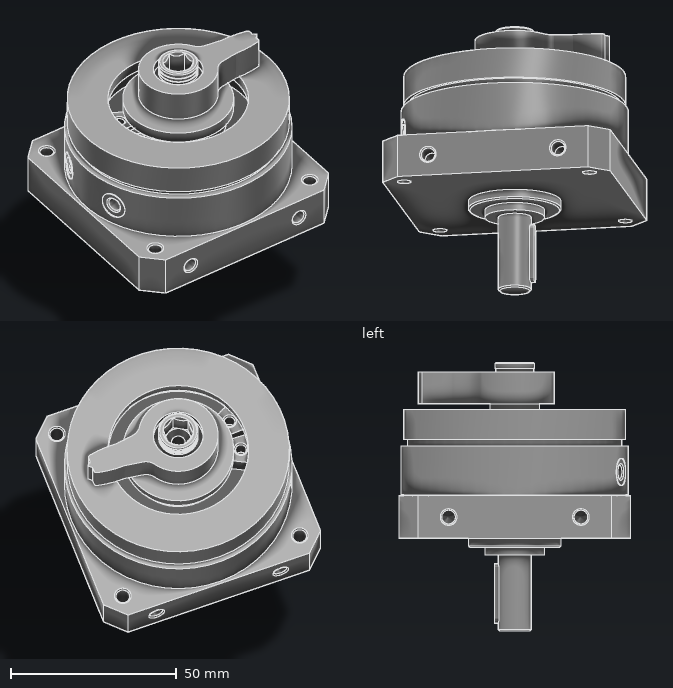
import cadquery as cq
import math

DRILL_POINT_HALF_ANGLE = 59.0
COUNTERSINK_ANGLE = 90.0

FLANGE_SIDE = 70.0
FLANGE_HEIGHT = 12.9
FLANGE_CORNER_CUT = 5.8
CORNER_HOLE_OFFSET = 28.5
SIDE_HOLE_OFFSET = 20.0
SIDE_HOLE_DEPTH = 6.5
THREAD_DIAMETER = 4.15
THREAD_MOUTH_DIAMETER = 5.0

DRUM_DIAMETER = 68.8
DRUM_BASE_Z = 13.15
DRUM_TOP_Z = 27.9
COVER_DIAMETER = 67.15
COVER_BASE_Z = 29.8
COVER_TOP_Z = 39.0
WAIST_DIAMETER = 64.8
FOOT_DIAMETER = COVER_DIAMETER

PORT_ANGLE = 20.0
PORT_Z = 20.05
PORT_SEAT_DIAMETER = 8.3
PORT_SEAT_RADIUS = 34.1
PORT_DEPTH = 7.3

SLOT_MOUTH_INNER_DIAMETER = 33.5
SLOT_MOUTH_OUTER_DIAMETER = 42.5
SLOT_INNER_DIAMETER = 29.0
SLOT_OUTER_DIAMETER = 47.0
SLOT_LIP = 3.5
SLOT_DEPTH = 9.5
SLOT_FLOOR_Z = COVER_TOP_Z - SLOT_DEPTH

NUT_HEIGHT = SLOT_DEPTH - SLOT_LIP
NUT_ANGLE = 15.0
NUT_SPAN = 25.0
NUT_HOLE_RADIUS = (SLOT_MOUTH_INNER_DIAMETER + SLOT_MOUTH_OUTER_DIAMETER) / 4
NUT_HOLE_DIAMETER = 3.25
NUT_HOLE_MOUTH_DIAMETER = 4.15

BOSS_DIAMETER = 28.0
BOSS_LENGTH = 2.8
BOSS_CHAMFER = 0.5
COLLAR_DIAMETER = 18.0
COLLAR_END_Z = -5.0
SHAFT_DIAMETER = 10.0
SHAFT_END_Z = -28.0
SHAFT_CHAMFER = 0.5
KEY_LENGTH = 18.0
KEY_WIDTH = 3.0
KEY_CENTRE_Z = -16.65
KEY_TOP_Y = 6.2

HUB_DIAMETER = 15.0
HUB_SHOULDER_Z = 47.6
STUD_DIAMETER = 12.0
STUD_GROOVE_DIAMETER = 11.5
STUD_GROOVE_BASE_Z = 50.0
STUD_GROOVE_TOP_Z = 51.3
STUD_TOP_Z = 53.2
STUD_CHAMFER = 0.4
HUB_CONE_HEIGHT = (HUB_DIAMETER - STUD_DIAMETER) / 2
HEX_ACROSS_FLATS = 8.0
HEX_DEPTH = 7.3
HEX_MOUTH_DIAMETER = 9.3
HEX_MOUTH_SLOPE = 60.0
CENTRE_HOLE_DEPTH = 9.75

LEVER_BASE_Z = 40.6
LEVER_HEIGHT = 9.7
LEVER_HUB_RADIUS = 12.0
LEVER_TIP_Y = 29.15
LEVER_HUB_JOIN_X = 6.8
LEVER_ARM = {
    "tip base": (1.05, 28.0),
    "end": (2.3, 28.0),
    "corner": (2.8, 27.85),
    "side": (3.1, 27.4),
    "belly": (3.7, 23.15),
    "waist": (3.8, 18.7),
    "root": (4.6, 13.1),
    "root fillet": (5.4, 11.1),
    "hub": (LEVER_HUB_JOIN_X, math.sqrt(LEVER_HUB_RADIUS**2 - LEVER_HUB_JOIN_X**2)),
}


def cone_height(diameter):
    """Height of a full drill-point cone with the given base diameter."""
    return diameter / 2 / math.tan(math.radians(DRILL_POINT_HALF_ANGLE))


def turned(profile):
    """Solid of revolution about Z from (radius, z) points."""
    return cq.Workplane("YZ").polyline(profile).close().revolve(360, (0, 0, 0), (0, 1, 0))


def ring(inner_diameter, outer_diameter, bottom, height):
    return (
        cq.Workplane("XY", origin=(0, 0, bottom))
        .circle(outer_diameter / 2)
        .circle(inner_diameter / 2)
        .extrude(height)
    )


def threaded_hole_cutter(depth):
    """Chamfered blind hole with a drill point, running down from the origin."""
    radius = THREAD_DIAMETER / 2
    mouth_radius = THREAD_MOUTH_DIAMETER / 2
    return turned([
        (0, 0),
        (mouth_radius, 0),
        (radius, radius - mouth_radius),
        (radius, -depth),
        (0, -depth - cone_height(THREAD_DIAMETER)),
    ])


def flange():
    plate = (
        cq.Workplane("XY")
        .rect(FLANGE_SIDE, FLANGE_SIDE)
        .extrude(FLANGE_HEIGHT)
        .edges("|Z")
        .chamfer(FLANGE_CORNER_CUT)
    )
    corner_pitch = 2 * CORNER_HOLE_OFFSET
    plate = (
        plate.faces(">Z")
        .workplane(origin=(0, 0, 0))
        .rect(corner_pitch, corner_pitch, forConstruction=True)
        .vertices()
        .cskHole(THREAD_DIAMETER, THREAD_MOUTH_DIAMETER, COUNTERSINK_ANGLE)
    )
    for turn in (-90, 90):
        cutter = threaded_hole_cutter(SIDE_HOLE_DEPTH).rotate((0, 0, 0), (0, 1, 0), turn)
        side_x = math.copysign(FLANGE_SIDE / 2, turn)
        for y in (-SIDE_HOLE_OFFSET, SIDE_HOLE_OFFSET):
            plate = plate.cut(cutter.translate((side_x, y, FLANGE_HEIGHT / 2)))
    return plate


def round_housing():
    """Drum and cover, with a waist between them and a shallow recessed foot below the drum."""
    drum_radius = DRUM_DIAMETER / 2
    cover_radius = COVER_DIAMETER / 2
    waist_radius = WAIST_DIAMETER / 2
    foot_radius = FOOT_DIAMETER / 2
    return turned([
        (0, FLANGE_HEIGHT),
        (foot_radius, FLANGE_HEIGHT),
        (foot_radius, DRUM_BASE_Z),
        (drum_radius, DRUM_BASE_Z),
        (drum_radius, DRUM_TOP_Z),
        (waist_radius, DRUM_TOP_Z),
        (waist_radius, COVER_BASE_Z),
        (cover_radius, COVER_BASE_Z),
        (cover_radius, COVER_TOP_Z),
        (0, COVER_TOP_Z),
    ])


def port_cutter(angle):
    """Air port with a flat round seat, turned from the -Y direction about Z."""
    seat = cq.Workplane("XY").circle(PORT_SEAT_DIAMETER / 2).extrude(DRUM_DIAMETER / 2 - PORT_SEAT_RADIUS)
    return (
        threaded_hole_cutter(PORT_DEPTH)
        .union(seat)
        .rotate((0, 0, 0), (1, 0, 0), 90)
        .translate((0, -PORT_SEAT_RADIUS, PORT_Z))
        .rotate((0, 0, 0), (0, 0, 1), angle)
    )


def t_slot_cutter():
    mouth = ring(SLOT_MOUTH_INNER_DIAMETER, SLOT_MOUTH_OUTER_DIAMETER, SLOT_FLOOR_Z, SLOT_DEPTH)
    undercut = ring(SLOT_INNER_DIAMETER, SLOT_OUTER_DIAMETER, SLOT_FLOOR_Z, SLOT_DEPTH - SLOT_LIP)
    return mouth.union(undercut)


def lower_shaft():
    boss_radius = BOSS_DIAMETER / 2
    shaft_radius = SHAFT_DIAMETER / 2
    shaft = turned([
        (0, 0),
        (boss_radius, 0),
        (boss_radius, BOSS_CHAMFER - BOSS_LENGTH),
        (boss_radius - BOSS_CHAMFER, -BOSS_LENGTH),
        (COLLAR_DIAMETER / 2, -BOSS_LENGTH),
        (COLLAR_DIAMETER / 2, COLLAR_END_Z),
        (shaft_radius, COLLAR_END_Z),
        (shaft_radius, SHAFT_END_Z + SHAFT_CHAMFER),
        (shaft_radius - SHAFT_CHAMFER, SHAFT_END_Z),
        (0, SHAFT_END_Z),
    ])
    key = (
        cq.Workplane("XZ", origin=(0, 0, KEY_CENTRE_Z))
        .slot2D(KEY_LENGTH, KEY_WIDTH, 90)
        .extrude(-KEY_TOP_Y)
    )
    return shaft.union(key)


def upper_shaft():
    hub_radius = HUB_DIAMETER / 2
    groove_radius = STUD_GROOVE_DIAMETER / 2
    stud_radius = STUD_DIAMETER / 2
    return turned([
        (0, COVER_TOP_Z),
        (hub_radius, COVER_TOP_Z),
        (hub_radius, HUB_SHOULDER_Z),
        (stud_radius, HUB_SHOULDER_Z + HUB_CONE_HEIGHT),
        (stud_radius, STUD_GROOVE_BASE_Z),
        (groove_radius, STUD_GROOVE_BASE_Z),
        (groove_radius, STUD_GROOVE_TOP_Z),
        (stud_radius, STUD_GROOVE_TOP_Z),
        (stud_radius, STUD_TOP_Z - STUD_CHAMFER),
        (stud_radius - STUD_CHAMFER, STUD_TOP_Z),
        (0, STUD_TOP_Z),
    ])


def socket_cutter():
    """Hexagon socket with a conical mouth, and a drilled hole below it."""
    hexagon = (
        cq.Workplane("XY", origin=(0, 0, STUD_TOP_Z))
        .polygon(6, HEX_ACROSS_FLATS / math.cos(math.pi / 6))
        .extrude(-HEX_DEPTH)
    )
    mouth_depth = HEX_MOUTH_DIAMETER / 2 * math.tan(math.radians(HEX_MOUTH_SLOPE))
    mouth = turned([
        (0, STUD_TOP_Z),
        (HEX_MOUTH_DIAMETER / 2, STUD_TOP_Z),
        (0, STUD_TOP_Z - mouth_depth),
    ])
    socket_floor_z = STUD_TOP_Z - HEX_DEPTH
    hole_radius = THREAD_DIAMETER / 2
    hole_mouth_z = socket_floor_z - cone_height(HEX_ACROSS_FLATS - THREAD_DIAMETER)
    hole_end_z = socket_floor_z - CENTRE_HOLE_DEPTH
    centre_hole = turned([
        (0, socket_floor_z),
        (HEX_ACROSS_FLATS / 2, socket_floor_z),
        (hole_radius, hole_mouth_z),
        (hole_radius, hole_end_z),
        (0, hole_end_z - cone_height(THREAD_DIAMETER)),
    ])
    return hexagon.union(mouth).union(centre_hole)


def drive_body():
    """Flange, round housing and both shaft ends as one solid."""
    body = flange().union(round_housing()).cut(t_slot_cutter())
    for angle in (-PORT_ANGLE, PORT_ANGLE):
        body = body.cut(port_cutter(angle))
    return body.union(lower_shaft()).union(upper_shaft()).cut(socket_cutter())


def lever_side(sign):
    """Named points along one edge of the lever arm, on the side of X given by the sign."""
    return {name: (sign * x, y) for name, (x, y) in LEVER_ARM.items()}


def pointer_lever():
    """Round hub with an arm toward +Y that ends in a small pointed tip."""
    right = lever_side(1)
    left = lever_side(-1)
    bore = cq.Workplane("XY", origin=(0, 0, LEVER_BASE_Z)).circle(HUB_DIAMETER / 2).extrude(LEVER_HEIGHT)
    return (
        cq.Workplane("XY", origin=(0, 0, LEVER_BASE_Z))
        .moveTo(0, LEVER_TIP_Y)
        .lineTo(*right["tip base"])
        .lineTo(*right["end"])
        .threePointArc(right["corner"], right["side"])
        .threePointArc(right["belly"], right["waist"])
        .lineTo(*right["root"])
        .threePointArc(right["root fillet"], right["hub"])
        .threePointArc((0, -LEVER_HUB_RADIUS), left["hub"])
        .threePointArc(left["root fillet"], left["root"])
        .lineTo(*left["waist"])
        .threePointArc(left["belly"], left["side"])
        .threePointArc(left["corner"], left["end"])
        .lineTo(*left["tip base"])
        .close()
        .extrude(LEVER_HEIGHT)
        .cut(bore)
    )


def slot_nut(centre_angle):
    """Curved nut with a threaded hole, filling the T-slot below its lip, turned from -Y about Z."""
    half_span = math.radians(NUT_SPAN / 2)
    reach = SLOT_OUTER_DIAMETER
    sector = (
        cq.Workplane("XY", origin=(0, 0, SLOT_FLOOR_Z))
        .polyline([
            (0, 0),
            (-reach * math.sin(half_span), -reach * math.cos(half_span)),
            (reach * math.sin(half_span), -reach * math.cos(half_span)),
        ])
        .close()
        .extrude(NUT_HEIGHT)
    )
    return (
        ring(SLOT_INNER_DIAMETER, SLOT_OUTER_DIAMETER, SLOT_FLOOR_Z, NUT_HEIGHT)
        .intersect(sector)
        .faces(">Z")
        .workplane(origin=(0, -NUT_HOLE_RADIUS, 0))
        .cskHole(NUT_HOLE_DIAMETER, NUT_HOLE_MOUTH_DIAMETER, COUNTERSINK_ANGLE)
        .rotate((0, 0, 0), (0, 0, 1), centre_angle)
    )


drive = drive_body()
lever = pointer_lever()
nuts = [slot_nut(angle) for angle in (-NUT_ANGLE, NUT_ANGLE)]

result = cq.Compound.makeCompound([drive.val(), lever.val(), *[nut.val() for nut in nuts]])